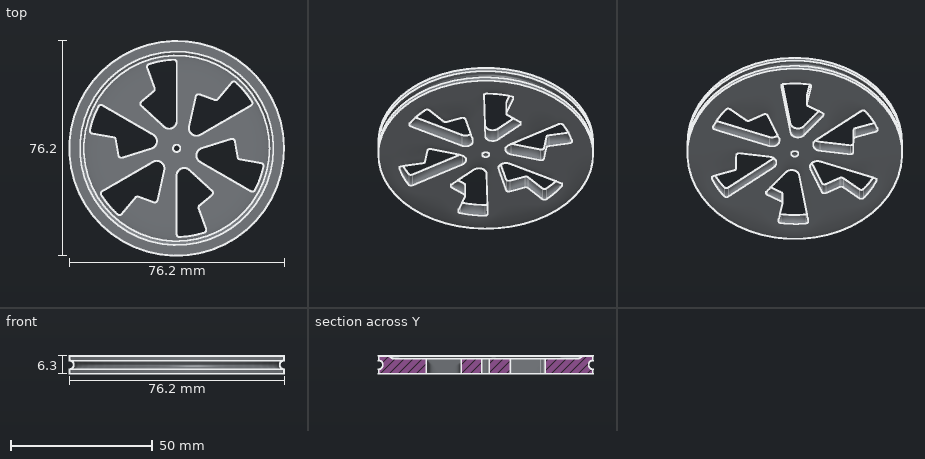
import cadquery as cq
import math

wheel_radius = 38.1
wheel_height = 6.3
groove_radius = 1.5
bore_diameter = 2.5

dish_depth = 1.0
dish_top_radius = 34.3
dish_floor_radius = 32.9

window_count = 6
window_outer_radius = 31.4
window_angle = 20.0
inner_corner = (0, 3.6)
tip_corner = (-13.3, 15.85)
notch_corner_radius = 22.0
inner_fillet = 2.7
corner_fillet = 1.0


def on_circle(radius, angle):
    """Point at an angle in degrees, counterclockwise from +Y."""
    turn = math.radians(angle)
    return (-radius * math.sin(turn), radius * math.cos(turn))


def make_wheel():
    """Revolve the rim and dish, with a semicircular groove around the edge."""
    floor_height = wheel_height - dish_depth
    groove_height = wheel_height / 2
    return (
        cq.Workplane("XZ")
        .lineTo(wheel_radius, 0)
        .lineTo(wheel_radius, groove_height - groove_radius)
        .threePointArc(
            (wheel_radius - groove_radius, groove_height),
            (wheel_radius, groove_height + groove_radius),
        )
        .lineTo(wheel_radius, wheel_height)
        .lineTo(dish_top_radius, wheel_height)
        .lineTo(dish_floor_radius, floor_height)
        .lineTo(0, floor_height)
        .close()
        .revolve(360, (0, 0), (0, 1))
    )


def make_window():
    """Full-height cutter for one window, with rounded corners."""
    window = (
        cq.Workplane("XY")
        .moveTo(*inner_corner)
        .lineTo(*on_circle(window_outer_radius, 0))
        .threePointArc(
            on_circle(window_outer_radius, window_angle / 2),
            on_circle(window_outer_radius, window_angle),
        )
        .lineTo(*on_circle(notch_corner_radius, window_angle))
        .lineTo(*tip_corner)
        .close()
        .extrude(wheel_height)
    )
    rounds = [
        (inner_corner, inner_fillet),
        (on_circle(window_outer_radius, 0), corner_fillet),
        (on_circle(window_outer_radius, window_angle), corner_fillet),
        (on_circle(notch_corner_radius, window_angle), corner_fillet),
        (tip_corner, corner_fillet),
    ]
    for corner, radius in rounds:
        nearest = cq.selectors.NearestToPointSelector((*corner, wheel_height / 2))
        window = window.edges("|Z").edges(nearest).fillet(radius)
    return window


result = make_wheel()
result = result.faces("<Z").workplane(origin=(0, 0, 0)).hole(bore_diameter)

window_cutter = make_window()
for index in range(window_count):
    angle = index * 360 / window_count
    result = result.cut(window_cutter.rotate((0, 0, 0), (0, 0, 1), angle))